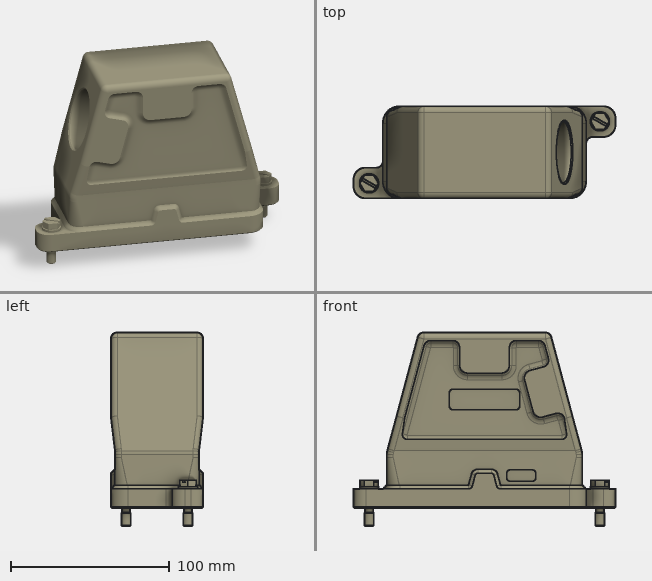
import cadquery as cq
import math

length = 165.0
width = 58.0
hood_top = 110.5
flange_top = 12.0
flange_chamfer = 2.5
underside_chamfer = 0.8

hood_half_length = 61.5
hip_height = 35.0
hip_radius = 9.4
lean = math.radians(15)
fold_low = 36.3
fold_high = 57.0
edge_radius = 4.0
cone_top = 32.0
cone_base_radius = 8.2

ear_width = 19.5
ear_corner_radius = 7.8
ear_root_radius = 4.0

pad_top = 24.5
pad_half_foot = 10.0
pad_lean = math.radians(15)
pad_bevel_angle = 45.0
pad_corner_radius = 4.0
pad_foot_radius = 0.3
pad_band_half_length = 49.5

panel_wall_angle = 45.0
panel_top = 103.0
panel_bottom = 44.0
panel_inset = 7.8
panel_corner_radius = 2.0
panel_foot_radius = 4.0
tongue_half_width = 18.2
tongue_bottom = 82.5
boss_half_width = 17.7
boss_depth = 25.7
tongue_corner_radius = 7.5

label_depth = 0.5
name_field = (0, 68.3, 44.2, 13.0, 2.3)
rating_field = (23.1, 20.5, 18.3, 7.3, 2.3)

entry_diameter = 38.6
entry_height = 76.7
entry_depth = 16.5
entry_chamfer = 0.8

screw_x = 72.6
screw_y = 19.5
washer_diameter = 12.0
washer_top = 13.5
hex_diameter = 11.7
head_top = 17.7
slot_width = 1.5
slot_depth = 1.5
slot_angle = -30
shank_diameter = 5.3
thread_diameter = 6.0
shank_end = -2.5
thread_start = -3.3
screw_end = -11.4
thread_tip_chamfer = 0.7

half_width = width / 2
waist_half_width = half_width - flange_chamfer
collar_top = flange_top + flange_chamfer
flange_half_length = hood_half_length + flange_chamfer
flange_corner_radius = cone_base_radius + flange_chamfer
panel_depth = half_width - waist_half_width


def end_wall_x(z, inset=0.0):
    """X of the leaning +X end wall at height z, moved inwards square to the wall."""
    return hood_half_length - (z - hip_height) * math.tan(lean) - inset / math.cos(lean)


def end_wall_point(along, inset):
    """(x, z) from the cable entry centre: down the leaning wall, then square into it."""
    x = end_wall_x(entry_height) + along * math.sin(lean) - inset * math.cos(lean)
    z = entry_height - along * math.cos(lean) - inset * math.sin(lean)
    return (x, z)


def rounded_block(half_x, half_y, radius, height):
    return cq.Workplane().rect(2 * half_x, 2 * half_y).extrude(height).edges("|Z").fillet(radius)


def front_plane(y):
    """Plane at the given y with x to the right, z up and its normal towards -Y."""
    return cq.Workplane("XZ", origin=(0, y, 0))


def rounded_outline(points, radii):
    """Closed wire through (x, z) points; radii maps some of the points to corner radii."""
    wire = cq.Wire.makePolygon([cq.Vector(*point) for point in points], close=True)
    for point, radius in radii.items():
        corner = min(wire.Vertices(), key=lambda v: math.dist((v.X, v.Y), point))
        wire = wire.fillet2D(radius, [corner])
    return wire


def front_outline(wire, y):
    """Workplane at the given y, facing -Y, with the outline ready to extrude."""
    plane = front_plane(y)
    return plane.add(wire.moved(plane.plane.location)).toPending()


def both_sides(shape):
    return shape.union(shape.mirror("XZ"))


def upper_hood():
    end_x = end_wall_x(hood_top)
    front = [
        (-hood_half_length, cone_top), (hood_half_length, cone_top), (hood_half_length, hip_height),
        (end_x, hood_top), (-end_x, hood_top), (-hood_half_length, hip_height),
    ]
    flared = [
        (-waist_half_width, cone_top), (waist_half_width, cone_top), (waist_half_width, fold_low),
        (half_width, fold_high), (half_width, hood_top), (-half_width, hood_top),
        (-half_width, fold_high), (-waist_half_width, fold_low),
    ]
    solid = cq.Workplane("XZ").polyline(front).close().extrude(half_width, both=True)
    for side in (1, -1):
        hip = cq.selectors.NearestToPointSelector((side * hood_half_length, 0, hip_height))
        solid = solid.edges("|Y").edges(hip).fillet(hip_radius)
    solid = solid.intersect(cq.Workplane("YZ").polyline(flared).close().extrude(length / 2, both=True))
    corner_runs = solid.edges("not(|X or |Y)")
    return corner_runs.add(solid.faces(">Z").edges()).fillet(edge_radius)


def lower_hood():
    """Upright walls whose rounded corners widen towards the flange."""
    def section(z, radius):
        sketch = cq.Sketch().rect(2 * hood_half_length, 2 * waist_half_width).vertices().fillet(radius)
        return sketch.moved(cq.Location(cq.Vector(0, 0, z)))

    return cq.Workplane().placeSketch(
        section(flange_top, cone_base_radius), section(cone_top, edge_radius)
    ).loft(ruled=True)


def flange():
    base = rounded_block(flange_half_length, half_width, flange_corner_radius, collar_top)
    base = base.faces(">Z").edges().chamfer(flange_chamfer)
    ear_reach = length / 2
    ear = (
        cq.Workplane(origin=(ear_reach / 2, half_width - ear_width / 2, 0))
        .rect(ear_reach, ear_width)
        .extrude(flange_top)
        .edges("|Z and >X")
        .fillet(ear_corner_radius)
    )
    base = base.union(ear).union(ear.rotate((0, 0, 0), (0, 0, 1), 180))
    ear_root_y = half_width - ear_width
    for side in (1, -1):
        root = cq.selectors.NearestToPointSelector(
            (side * flange_half_length, side * ear_root_y, flange_top / 2)
        )
        base = base.edges("|Z").edges(root).fillet(ear_root_radius)
    return base.faces("<Z").edges().chamfer(underside_chamfer)


def side_pad():
    """Bevelled trapezoid standing on the flange, its bevel running on along the collar."""
    pad_half_top = pad_half_foot - (pad_top - collar_top) * math.tan(pad_lean)
    right = [
        (pad_half_top, pad_top), (pad_half_foot, collar_top),
        (pad_band_half_length, collar_top), (pad_band_half_length, underside_chamfer),
    ]
    left = [(-x, z) for x, z in reversed(right)]
    outline = rounded_outline(
        right + left,
        {(-pad_half_top, pad_top): pad_corner_radius, (pad_half_top, pad_top): pad_corner_radius,
         (-pad_half_foot, collar_top): pad_foot_radius, (pad_half_foot, collar_top): pad_foot_radius},
    )
    core = front_outline(outline, 0).extrude(waist_half_width)
    bevel = front_outline(outline, -waist_half_width).extrude(flange_chamfer, taper=pad_bevel_angle)
    return core.union(bevel)


def panel_recess():
    """Cutter for one side panel: sloped wall with a rounded foot."""
    boss = [
        end_wall_point(-boss_half_width, panel_inset), end_wall_point(-boss_half_width, boss_depth),
        end_wall_point(boss_half_width, boss_depth), end_wall_point(boss_half_width, panel_inset),
    ]
    tongue = [
        (-tongue_half_width, panel_top), (-tongue_half_width, tongue_bottom),
        (tongue_half_width, tongue_bottom), (tongue_half_width, panel_top),
    ]
    top_x = end_wall_x(panel_top, panel_inset)
    bottom_x = end_wall_x(panel_bottom, panel_inset)
    points = [
        (-bottom_x, panel_bottom), (-top_x, panel_top), *tongue,
        (top_x, panel_top), *boss, (bottom_x, panel_bottom),
    ]
    radii = {point: panel_corner_radius for point in points}
    radii.update({point: tongue_corner_radius for point in tongue[1:3] + boss[1:3]})
    outline = rounded_outline(points, radii)
    cutter = front_outline(outline, -waist_half_width).extrude(panel_depth, taper=-panel_wall_angle)
    return cutter.faces(">Y").edges().fillet(panel_foot_radius)


def label_recess(field):
    """Shallow rounded rectangle sunk into the front, below the level of the waist."""
    x, z, field_length, height, radius = field
    return (
        front_plane(label_depth - waist_half_width)
        .center(x, z)
        .rect(field_length, height)
        .extrude(label_depth)
        .edges("|Y")
        .fillet(radius)
    )


def cable_entry():
    mouth_x, mouth_z = end_wall_point(0, 0)
    outward = cq.Vector(math.cos(lean), 0, math.sin(lean))
    mouth = cq.Vector(mouth_x, 0, mouth_z)
    radius = entry_diameter / 2
    bore = cq.Solid.makeCylinder(radius, entry_depth, mouth, outward * -1)
    bevel = cq.Solid.makeCone(radius + entry_chamfer, radius, entry_chamfer, mouth, outward * -1)
    return cq.Workplane(bore).union(cq.Workplane(bevel))


def screw():
    shank_radius = shank_diameter / 2
    thread_radius = thread_diameter / 2
    half_section = [
        (0, washer_top), (washer_diameter / 2, washer_top), (washer_diameter / 2, flange_top),
        (shank_radius, flange_top), (shank_radius, shank_end), (thread_radius, thread_start),
        (thread_radius, screw_end + thread_tip_chamfer),
        (thread_radius - thread_tip_chamfer, screw_end), (0, screw_end),
    ]
    body = cq.Workplane("XZ").polyline(half_section).close().revolve(360, (0, 0, 0), (0, 1, 0))
    head = (
        cq.Workplane(origin=(0, 0, washer_top)).polygon(6, hex_diameter).extrude(head_top - washer_top)
    )
    slot = (
        cq.Workplane(origin=(0, 0, head_top - slot_depth))
        .rect(2 * hex_diameter, slot_width)
        .extrude(2 * slot_depth)
        .rotate((0, 0, 0), (0, 0, 1), slot_angle)
    )
    return body.union(head.cut(slot))


result = upper_hood().union(lower_hood()).union(flange()).union(both_sides(side_pad()))
result = result.cut(both_sides(panel_recess()))
result = result.cut(label_recess(name_field))
result = result.cut(label_recess(rating_field))
result = result.cut(cable_entry())
for side in (1, -1):
    result = result.union(screw().translate((side * screw_x, side * screw_y, 0)))